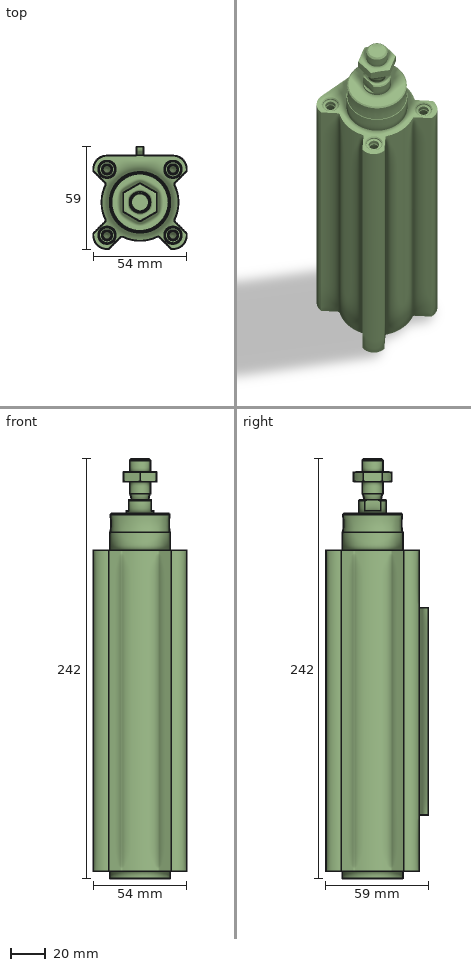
import cadquery as cq
import math

TOTAL_HEIGHT = 242.0
BODY_BOTTOM = 4.4
BODY_TOP = 189.5
COLLAR_STEP = 199.5
COLLAR_TOP = 210.5

BODY_WIDTH = 54.0
CORNER_RADIUS = 8.0
CORE_RADIUS = 22.3
LOBE_FLAT = 1.0
GROOVE_FILLET = 1.2

BOSS_DIAMETER = 35.0
COLLAR_DIAMETER = 34.3
COLLAR_WAIST_DIAMETER = 33.6
FOOT_CHAMFER = 0.5
COLLAR_CHAMFER = 0.7

RAIL_WIDTH = 4.0
RAIL_HEIGHT = 5.0
RAIL_BOTTOM = 36.8
RAIL_LENGTH = 119.5
RAIL_FOOT_SPREAD = 0.2
RAIL_FOOT_HEIGHT = 1.2
RAIL_TIP_FILLET = 0.5

HOLE_DIAMETER = 10.2
SEAT_DIAMETER = 9.0
SEAT_DEPTH = 1.5
SOCKET_DIAMETER = 6.0
SOCKET_DEPTH = 2.5
BORE_DIAMETER = 4.8
BORE_DEPTH = 9.7
BORE_TIP_ANGLE = 118

ROD_DIAMETER = 16.0
ROD_FLAT_WIDTH = 13.0
ROD_CHAMFER = 0.7
FLATS_BOTTOM = 212.0
ROD_SHOULDER = 218.5
RELIEF_DIAMETER = 10.2
RELIEF_TOP = 219.2
RUNOUT_DIAMETER = 11.4
THREAD_DIAMETER = 12.0
THREAD_BOTTOM = 221.8
THREAD_CHAMFER = 1.0

NUT_ACROSS_FLATS = 19.0
NUT_BOTTOM = 228.5
NUT_HEIGHT = 5.8
NUT_FACE_DIAMETER = 18.5
NUT_CHAMFER_ANGLE = 10

half_width = BODY_WIDTH / 2
lobe_centre = half_width - CORNER_RADIUS
nut_top = NUT_BOTTOM + NUT_HEIGHT
hole_points = [(sx * lobe_centre, sy * lobe_centre) for sx in (-1, 1) for sy in (-1, 1)]


def cylinder(diameter, bottom, top):
    """Upright cylinder on the Z axis between two heights."""
    return cq.Workplane("XY").workplane(offset=bottom).circle(diameter / 2).extrude(top - bottom)


def turned(profile):
    """Solid of revolution about Z from (radius, height) points."""
    return cq.Workplane("XZ").polyline(profile).close().revolve(360, (0, 0, 0), (0, 1, 0))


def make_barrel():
    """Rounded square block with three grooved faces and a flat back."""
    height = BODY_TOP - BODY_BOTTOM
    lobe_edge = lobe_centre - LOBE_FLAT
    block = (
        cq.Workplane("XY").workplane(offset=BODY_BOTTOM)
        .rect(BODY_WIDTH, BODY_WIDTH).extrude(height)
        .edges("|Z").fillet(CORNER_RADIUS)
    )
    wedge = (
        cq.Workplane("XY").workplane(offset=BODY_BOTTOM)
        .polyline([(-lobe_edge, -half_width), (0, lobe_edge - half_width), (lobe_edge, -half_width)])
        .close().extrude(height)
    )
    groove = wedge.cut(cylinder(2 * CORE_RADIUS, BODY_BOTTOM, BODY_TOP))
    groove = groove.edges("|Z").edges(">Y").fillet(GROOVE_FILLET)
    for angle in (0, 90, -90):
        block = block.cut(groove.rotate((0, 0, 0), (0, 0, 1), angle))
    return block


def make_rail():
    """Rail on the back face, with a slightly flared foot and a rounded tip."""
    tip = half_width + RAIL_HEIGHT
    side = RAIL_WIDTH / 2
    foot_side = side + RAIL_FOOT_SPREAD
    foot_top = half_width + RAIL_FOOT_HEIGHT
    rail = (
        cq.Workplane("XY").workplane(offset=RAIL_BOTTOM)
        .polyline([
            (-foot_side, half_width), (-side, foot_top), (-side, tip),
            (side, tip), (side, foot_top), (foot_side, half_width),
        ])
        .close().extrude(RAIL_LENGTH)
    )
    return rail.edges("|Z and >Y").fillet(RAIL_TIP_FILLET)


def make_collar():
    """Waisted collar on the barrel top."""
    radius = COLLAR_DIAMETER / 2
    rim = COLLAR_TOP - COLLAR_CHAMFER
    waist_point = (COLLAR_WAIST_DIAMETER / 2, (COLLAR_STEP + rim) / 2)
    return (
        cq.Workplane("XZ").moveTo(0, COLLAR_STEP).lineTo(radius, COLLAR_STEP)
        .threePointArc(waist_point, (radius, rim))
        .lineTo(radius - COLLAR_CHAMFER, COLLAR_TOP).lineTo(0, COLLAR_TOP)
        .close().revolve(360, (0, 0, 0), (0, 1, 0))
    )


def make_lobe_hole():
    """Chamfered recess stepping down to a round bore with a conical bottom."""
    mouth_chamfer = (HOLE_DIAMETER - SEAT_DIAMETER) / 2
    seat = BODY_TOP - SEAT_DEPTH
    socket_bottom = seat - SOCKET_DEPTH
    bore_bottom = socket_bottom - BORE_DEPTH
    bore_radius = BORE_DIAMETER / 2
    tip = bore_bottom - bore_radius / math.tan(math.radians(BORE_TIP_ANGLE / 2))
    return turned([
        (0, BODY_TOP),
        (HOLE_DIAMETER / 2, BODY_TOP),
        (SEAT_DIAMETER / 2, BODY_TOP - mouth_chamfer),
        (SEAT_DIAMETER / 2, seat),
        (SOCKET_DIAMETER / 2, seat),
        (SOCKET_DIAMETER / 2, socket_bottom),
        (bore_radius, socket_bottom),
        (bore_radius, bore_bottom),
        (0, tip),
    ])


def make_housing():
    """Barrel with its end bosses and rail, bored for the rod and the lobe holes."""
    foot = cylinder(BOSS_DIAMETER, 0, BODY_BOTTOM).faces("<Z").chamfer(FOOT_CHAMFER)
    neck = cylinder(BOSS_DIAMETER, BODY_TOP, COLLAR_STEP)
    housing = make_barrel().union(foot).union(neck).union(make_collar()).union(make_rail())
    hole = make_lobe_hole()
    for x, y in hole_points:
        housing = housing.cut(hole.translate((x, y, 0)))
    return housing.cut(cylinder(ROD_DIAMETER, BODY_TOP, COLLAR_TOP))


def make_rod():
    """Round shank with two wrench flats, a relief groove and a threaded stud."""
    shank = cylinder(ROD_DIAMETER, BODY_TOP, ROD_SHOULDER)
    shank = shank.faces(">Z").chamfer(ROD_CHAMFER)
    flat_height = ROD_SHOULDER - FLATS_BOTTOM
    flat_depth = (ROD_DIAMETER - ROD_FLAT_WIDTH) / 2
    for side in (-1, 1):
        x = side * (ROD_FLAT_WIDTH + flat_depth) / 2
        flat = cq.Workplane("XY").box(flat_depth, ROD_DIAMETER, flat_height, centered=(True, True, False))
        shank = shank.cut(flat.translate((x, 0, FLATS_BOTTOM)))
    relief_radius = RELIEF_DIAMETER / 2
    thread_radius = THREAD_DIAMETER / 2
    stud = turned([
        (0, ROD_SHOULDER),
        (relief_radius, ROD_SHOULDER),
        (relief_radius, RELIEF_TOP),
        (RUNOUT_DIAMETER / 2, THREAD_BOTTOM),
        (thread_radius, THREAD_BOTTOM),
        (thread_radius, TOTAL_HEIGHT - THREAD_CHAMFER),
        (thread_radius - THREAD_CHAMFER, TOTAL_HEIGHT),
        (0, TOTAL_HEIGHT),
    ])
    return shank.union(stud)


def make_nut():
    """Hexagon nut fitted on the stud."""
    across_corners = NUT_ACROSS_FLATS / math.cos(math.pi / 6)
    nut = (
        cq.Workplane("XY").workplane(offset=NUT_BOTTOM)
        .polygon(6, across_corners).extrude(NUT_HEIGHT)
        .rotate((0, 0, 0), (0, 0, 1), 30)
    )
    corner_radius = across_corners / 2
    face_radius = NUT_FACE_DIAMETER / 2
    drop = (corner_radius - face_radius) * math.tan(math.radians(NUT_CHAMFER_ANGLE))
    envelope = turned([
        (0, NUT_BOTTOM),
        (face_radius, NUT_BOTTOM),
        (corner_radius, NUT_BOTTOM + drop),
        (corner_radius, nut_top - drop),
        (face_radius, nut_top),
        (0, nut_top),
    ])
    nut = nut.intersect(envelope)
    return nut.cut(cylinder(THREAD_DIAMETER, NUT_BOTTOM, nut_top))


housing = make_housing()
rod = make_rod()
nut = make_nut()
result = cq.Compound.makeCompound([
    housing.solids().val(),
    rod.solids().val(),
    nut.solids().val(),
])